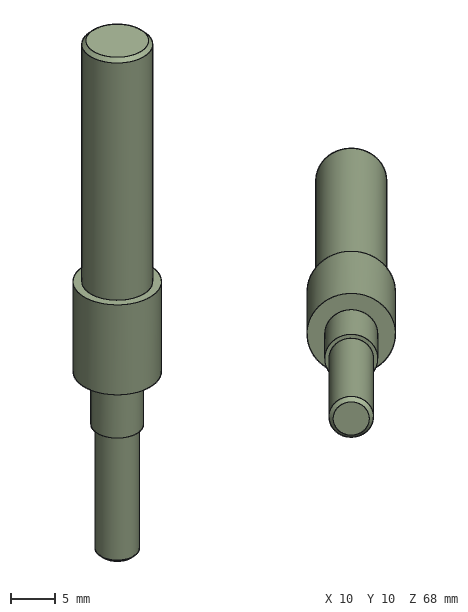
import cadquery as cq

tip_diameter = 5.0
tip_length = 17.0
neck_diameter = 6.0
neck_length = 7.0
collar_diameter = 10.0
collar_length = 12.0
shank_diameter = 8.0
total_length = 68.0
shank_length = total_length - tip_length - neck_length - collar_length

end_chamfer = 0.5

sections = [
    (tip_diameter, tip_length),
    (neck_diameter, neck_length),
    (collar_diameter, collar_length),
    (shank_diameter, shank_length),
]

pin = cq.Workplane("XY").circle(tip_diameter / 2).extrude(tip_length)
for diameter, length in sections[1:]:
    pin = pin.faces(">Z").workplane().circle(diameter / 2).extrude(length)

result = pin.faces("<Z or >Z").edges().chamfer(end_chamfer)